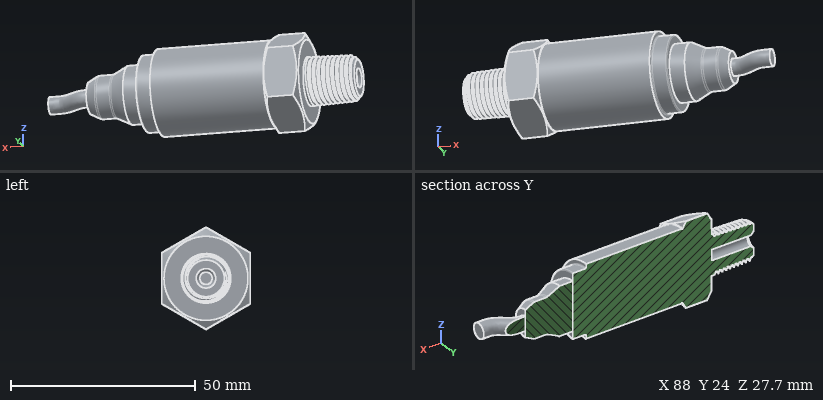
import cadquery as cq
import math


overall_length = 87.95
hex_start = 13.9
body_start = 23.7
body_end = 55.5
ring_end = 59.9
boot_collar_end = 64.2
boot_neck_start = 68.4
boot_neck_end = 72.65
boot_tip = 75.55

body_diameter = 24.0
hex_across_flats = body_diameter
hex_front_diameter = 22.8
hex_back_diameter = 23.6
hex_chamfer_angle = 30.0
ring_diameter = 21.2
ring_edge_radius = 0.3

port_diameter = 13.5
port_tip_diameter = 9.9
port_tip_chamfer_angle = 45.0
thread_taper = 1 / 16
thread_end = 12.9
thread_turns = 10
thread_pitch = thread_end / thread_turns
thread_depth = 0.9
thread_root_flat = 0.4
thread_crest_flat = 0.1

bore_diameter = 3.3
bore_depth = hex_start
countersink_diameter = 5.3
countersink_depth = 1.0

boot_collar_diameter = 16.2
boot_neck_diameter = 12.0
boot_tip_diameter = 8.9
boot_blend_radius = 1.1

cable_diameter = 4.8
cable_offset = 4.1
cable_bend_start = 76.7
cable_bend_end = 85.1
cable_curve_steps = 10


def revolve_about_x(profile):
    """Turn a closed XY profile around the X axis."""
    return profile.revolve(360, (0, 0, 0), (1, 0, 0))


def disc_along_x(diameter, start, end):
    """Round bar along X from start to end."""
    return cq.Workplane("YZ", origin=(start, 0, 0)).circle(diameter / 2).extrude(end - start)


def thread_groove():
    """Helical cutter that starts on the +Z side at thread_end and runs out at the port tip."""
    taper_angle = math.degrees(math.atan(thread_taper / 2))
    crest_radius = port_diameter / 2
    root_radius = crest_radius - thread_depth
    root_half = thread_root_flat / 2
    crest_half = (thread_pitch - thread_crest_flat) / 2
    overshoot = 0.04
    mouth_half = crest_half + overshoot * (crest_half - root_half) / thread_depth
    mouth_radius = crest_radius + overshoot

    helix = cq.Wire.makeHelix(thread_pitch, thread_turns * thread_pitch, root_radius, angle=-taper_angle)
    groove = (
        cq.Workplane("XZ")
        .polyline([
            (root_radius, -root_half),
            (root_radius, root_half),
            (mouth_radius, mouth_half),
            (mouth_radius, -mouth_half),
        ])
        .close()
        .sweep(cq.Workplane(obj=helix), isFrenet=True)
    )
    return groove.rotate((0, 0, 0), (0, 1, 0), -90).translate((thread_end, 0, 0))


def make_port():
    """Tapered male thread with a chamfered tip and a plain neck against the hexagon."""
    port_radius = port_diameter / 2
    blank_start = -thread_pitch
    blank_start_radius = port_radius - (hex_start - blank_start) * thread_taper / 2
    threaded_blank = revolve_about_x(
        cq.Workplane("XY")
        .polyline([
            (blank_start, 0),
            (blank_start, blank_start_radius),
            (hex_start, port_radius),
            (hex_start, 0),
        ])
        .close()
    ).cut(thread_groove())
    tip_radius = port_tip_diameter / 2
    chamfer_slope = math.tan(math.radians(port_tip_chamfer_angle))
    envelope = revolve_about_x(
        cq.Workplane("XY")
        .polyline([
            (0, 0),
            (0, tip_radius),
            ((body_diameter / 2 - tip_radius) / chamfer_slope, body_diameter / 2),
            (hex_start, body_diameter / 2),
            (hex_start, 0),
        ])
        .close()
    )
    return threaded_blank.intersect(envelope)


def make_hexagon():
    """Hexagon with flats on +Y and -Y, and corners chamfered at both ends."""
    corner_diameter = hex_across_flats / math.cos(math.radians(30))
    hexagon = (
        cq.Workplane("YZ", origin=(hex_start, 0, 0))
        .polygon(6, corner_diameter)
        .extrude(body_start - hex_start)
        .rotate((0, 0, 0), (1, 0, 0), 30)
    )
    corner_radius = corner_diameter / 2
    front_radius = hex_front_diameter / 2
    back_radius = hex_back_diameter / 2
    slope = math.tan(math.radians(hex_chamfer_angle))
    envelope = revolve_about_x(
        cq.Workplane("XY")
        .polyline([
            (hex_start, 0),
            (hex_start, front_radius),
            (hex_start + (corner_radius - front_radius) * slope, corner_radius),
            (body_start - (corner_radius - back_radius) * slope, corner_radius),
            (body_start, back_radius),
            (body_start, 0),
        ])
        .close()
    )
    return hexagon.intersect(envelope)


def pressure_bore():
    """Blind bore with a conical mouth."""
    return revolve_about_x(
        cq.Workplane("XY")
        .polyline([
            (0, 0),
            (0, countersink_diameter / 2),
            (countersink_depth, bore_diameter / 2),
            (bore_depth, bore_diameter / 2),
            (bore_depth, 0),
        ])
        .close()
    )


def make_body():
    """Round body and the smaller ring behind it, with the ring's root and rim rounded."""
    body = disc_along_x(body_diameter, body_start, body_end)
    ring = disc_along_x(ring_diameter, body_end, ring_end)
    ring_edges = cq.selectors.RadiusNthSelector(0)
    return body.union(ring).edges(ring_edges).fillet(ring_edge_radius)


def make_housing():
    return make_hexagon().union(make_body()).union(make_port()).cut(pressure_bore())


def make_boot():
    """Stepped boot behind the ring, with its neck blended into the cones on both sides."""
    boot = revolve_about_x(
        cq.Workplane("XY")
        .polyline([
            (ring_end, 0),
            (ring_end, boot_collar_diameter / 2),
            (boot_collar_end, boot_collar_diameter / 2),
            (boot_neck_start, boot_neck_diameter / 2),
            (boot_neck_end, boot_neck_diameter / 2),
            (boot_tip, boot_tip_diameter / 2),
            (boot_tip, 0),
        ])
        .close()
    )
    neck_edges = cq.selectors.RadiusNthSelector(1)
    return boot.edges("%CIRCLE").edges(neck_edges).fillet(boot_blend_radius)


def cable_centre(fraction):
    """Point on the cable's centre line: straight, half a cosine wave sideways, straight again."""
    x = boot_tip + fraction * (overall_length - boot_tip)
    bend_fraction = (x - cable_bend_start) / (cable_bend_end - cable_bend_start)
    bend_fraction = min(max(bend_fraction, 0), 1)
    y = -cable_offset / 2 * (1 - math.cos(math.pi * bend_fraction))
    return (x, y)


def make_cable():
    """Round cable leaving the boot tip straight, bending sideways and running out straight."""
    curve_points = [cable_centre(i / cable_curve_steps) for i in range(cable_curve_steps + 1)]
    path = cq.Workplane("XY").spline(curve_points, tangents=[(1, 0), (1, 0)])
    return cq.Workplane("YZ", origin=(boot_tip, 0, 0)).circle(cable_diameter / 2).sweep(path)



housing = make_housing()
boot = make_boot()
cable = make_cable()

result = cq.Compound.makeCompound([housing.solids().val(), boot.solids().val(), cable.val()])